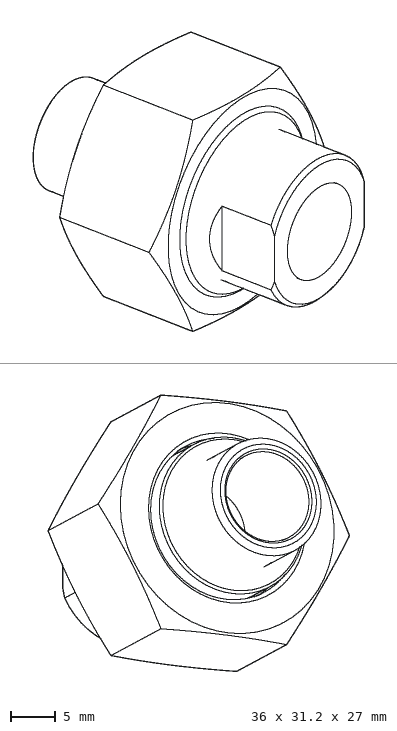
import cadquery as cq
import math


total_length = 36.0
collar_start = 9.0
nut_start = 10.5
nut_length = 14.5
nut_end = nut_start + nut_length

nut_sides = 6
nut_across_flats = 27.0
nut_face_diameter = 26.5
nut_chamfer_angle = 20.0
nut_lip_length = 3.0
nut_lip_bore = 18.5
nut_lip_chamfer = 0.5
thread_diameter = 22.38

spigot_diameter = 13.5
spigot_bore = 10.3
spigot_end_diameter = 11.9
spigot_chamfer_angle = 30.0
spigot_bore_chamfer = 0.25
spigot_fillet = 1.0
collar_diameter = 18.0
collar_chamfer = 0.3
flange_diameter = 22.0
flange_length = 3.0

socket_diameter = 18.0
socket_bore = 11.45
socket_chamfer = 0.5
socket_fillet = 0.75
thread_chamfer = 0.5
thread_protrusion = 0.5
wrench_across_flats = 16.0
wrench_flat_length = 7.5

flange_start = nut_start + nut_lip_length
joint = flange_start + flange_length


def revolve_about_x(profile):
    return profile.close().revolve(360, (0, 0, 0), (1, 0, 0))


def make_spigot():
    outer = spigot_diameter / 2
    bore = spigot_bore / 2
    end = spigot_end_diameter / 2
    collar = collar_diameter / 2
    flange = flange_diameter / 2
    end_chamfer_length = (outer - end) * math.tan(math.radians(spigot_chamfer_angle))
    profile = (
        cq.Workplane("XY")
        .moveTo(spigot_bore_chamfer, bore)
        .lineTo(0, bore + spigot_bore_chamfer)
        .lineTo(0, end)
        .lineTo(end_chamfer_length, outer)
        .lineTo(collar_start - spigot_fillet, outer)
        .radiusArc((collar_start, outer + spigot_fillet), -spigot_fillet)
        .lineTo(collar_start, collar - collar_chamfer)
        .lineTo(collar_start + collar_chamfer, collar)
        .lineTo(flange_start, collar)
        .lineTo(flange_start, flange)
        .lineTo(joint, flange)
        .lineTo(joint, bore)
    )
    return revolve_about_x(profile)


def make_nut():
    across_corners = nut_across_flats / math.cos(math.pi / nut_sides)
    hexagon = (
        cq.Workplane("YZ", origin=(nut_start, 0, 0))
        .polygon(nut_sides, across_corners)
        .extrude(nut_length)
    )

    face = nut_face_diameter / 2
    corner = across_corners / 2
    bevel_length = (corner - face) * math.tan(math.radians(nut_chamfer_angle))
    envelope = revolve_about_x(
        cq.Workplane("XY")
        .moveTo(nut_start, 0)
        .lineTo(nut_start, face)
        .lineTo(nut_start + bevel_length, corner)
        .lineTo(nut_end - bevel_length, corner)
        .lineTo(nut_end, face)
        .lineTo(nut_end, 0)
    )

    lip = nut_lip_bore / 2
    thread = thread_diameter / 2
    bore = revolve_about_x(
        cq.Workplane("XY")
        .moveTo(nut_start, 0)
        .lineTo(nut_start, lip + nut_lip_chamfer)
        .lineTo(nut_start + nut_lip_chamfer, lip)
        .lineTo(flange_start, lip)
        .lineTo(flange_start, thread)
        .lineTo(nut_end, thread)
        .lineTo(nut_end, 0)
    )
    return hexagon.intersect(envelope).cut(bore)


def make_wrench_flat_cutter():
    flat = wrench_across_flats / 2
    rise = socket_diameter / 2 - flat
    flat_start = total_length - wrench_flat_length
    return (
        cq.Workplane("XY")
        .moveTo(total_length, flat)
        .lineTo(flat_start, flat)
        .lineTo(flat_start - rise, flat + rise)
        .lineTo(total_length, flat + rise)
        .close()
        .extrude(socket_diameter / 2, both=True)
    )


def make_socket():
    outer = socket_diameter / 2
    bore = socket_bore / 2
    thread = thread_diameter / 2
    shoulder = nut_end + thread_protrusion
    profile = (
        cq.Workplane("XY")
        .moveTo(joint, bore)
        .lineTo(joint, thread)
        .lineTo(shoulder - thread_chamfer, thread)
        .lineTo(shoulder, thread - thread_chamfer)
        .lineTo(shoulder, outer + socket_fillet)
        .radiusArc((shoulder + socket_fillet, outer), -socket_fillet)
        .lineTo(total_length - socket_chamfer, outer)
        .lineTo(total_length, outer - socket_chamfer)
        .lineTo(total_length, bore)
    )
    socket = revolve_about_x(profile)
    cutter = make_wrench_flat_cutter()
    for side_angle in (0, 180):
        socket = socket.cut(cutter.rotate((0, 0, 0), (1, 0, 0), side_angle))
    return socket


spigot = make_spigot()
nut = make_nut()
socket = make_socket()

result = cq.Compound.makeCompound([spigot.val(), nut.val(), socket.val()])